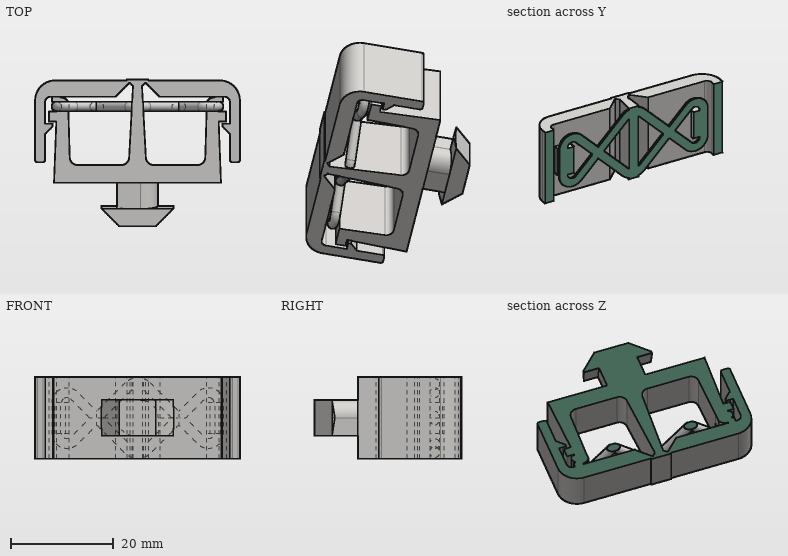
import cadquery as cq
import math

DEPTH = 16.0

BASE_HALF_WIDTH = 16.3
FLOOR_Y = 3.5
PILLAR_TOP_Y = 13.95
PILLAR_NECK_X = 15.85
PILLAR_HEAD_X = 17.3
PILLAR_HEAD_HEIGHT = 2.0
PILLAR_INNER_TOP_X = 13.45
PILLAR_INNER_FLOOR_X = 13.15
POCKET_RADIUS = 1.5
HEAD_RADIUS = 0.2

WALL_HALF_FLOOR = 1.73
WALL_HALF_TOP = 0.9

LID_HALF_WIDTH = 20.0
LID_TOP_Y = 20.0
LID_THICKNESS = 3.25
LID_CORNER_RADIUS = 4.0
LID_INNER_RADIUS = 1.0
STRIP_HALF_WIDTH = 2.1
STRIP_HEIGHT = 0.2
NOTCH_APEX_X = 1.55
NOTCH_APEX_Y = 19.5
ARM_THICKNESS = 2.0
ARM_TIP_Y = 4.0
ARM_TIP_RADIUS = 0.5
BARB_TOP_Y = 11.55
BARB_REACH = 1.45
BARB_NOSE = 0.55

LID_UNDER_Y = LID_TOP_Y - LID_THICKNESS
ARM_INNER_X = LID_HALF_WIDTH - ARM_THICKNESS

WIRE_DIAMETER = 1.9
WIRE_Y = 14.91
WIRE_CROSSING_X = 8.0
WIRE_END_X = 15.8
WIRE_MIDDLE_RADIUS = 2.6
WIRE_END_RADIUS = 2.0

OVERLAP = 0.1

BLOCK_LENGTH = 6.0
BLOCK_OUTER_X = 16.7
BLOCK_SHOULDER_Y = 15.8
BLOCK_CROWN_X = 15.1
BLOCK_CHAMFER_X = 14.05
BLOCK_CHAMFER_Y = 16.45

BOLT_HEAD_HEIGHT = 7.0
SHANK_HEIGHT = 6.98
SHANK_HALF_WIDTH = 4.0
SHANK_RADIUS = SHANK_HEIGHT / 2
BOLT_HEAD_PEAK_Y = -4.5
BOLT_HEAD_EAVE_Y = -5.07
BOLT_TIP_Y = -8.5
BOLT_HEAD_HALF_LENGTH = 6.96
BOLT_END_BULGE = 0.1


def extrude_centred(outline, length):
    """Extrude a closed XY outline symmetrically about Z = 0."""
    return cq.Workplane("XY").polyline(outline).close().extrude(length / 2, both=True)


def fillet_at(solid, x, y, radius):
    """Round the Z-parallel edge that passes through (x, y)."""
    edge = cq.selectors.NearestToPointSelector((x, y, 0))
    return solid.edges("|Z").edges(edge).fillet(radius)


def both_sides(half):
    """Join a +X half with its mirror image."""
    return half.union(half.mirror("YZ"))


def make_half_body():
    """Right half of the base, pillar, central wall and lid as one extrusion."""
    head_bottom_y = PILLAR_TOP_Y - PILLAR_HEAD_HEIGHT
    barb_tip_x = ARM_INNER_X - BARB_REACH
    outline = [
        (0, 0),
        (BASE_HALF_WIDTH, 0),
        (PILLAR_NECK_X, head_bottom_y),
        (PILLAR_HEAD_X, head_bottom_y),
        (PILLAR_HEAD_X, PILLAR_TOP_Y),
        (PILLAR_INNER_TOP_X, PILLAR_TOP_Y),
        (PILLAR_INNER_FLOOR_X, FLOOR_Y),
        (WALL_HALF_FLOOR, FLOOR_Y),
        (WALL_HALF_TOP, NOTCH_APEX_Y - (NOTCH_APEX_X - WALL_HALF_TOP)),
        (NOTCH_APEX_X, NOTCH_APEX_Y),
        (NOTCH_APEX_X + NOTCH_APEX_Y - LID_UNDER_Y, LID_UNDER_Y),
        (ARM_INNER_X, LID_UNDER_Y),
        (ARM_INNER_X, BARB_TOP_Y),
        (barb_tip_x, BARB_TOP_Y),
        (barb_tip_x, BARB_TOP_Y - BARB_NOSE),
        (ARM_INNER_X, BARB_TOP_Y - BARB_NOSE - BARB_REACH),
        (ARM_INNER_X, ARM_TIP_Y),
        (LID_HALF_WIDTH, ARM_TIP_Y),
        (LID_HALF_WIDTH, LID_TOP_Y),
        (STRIP_HALF_WIDTH, LID_TOP_Y),
        (STRIP_HALF_WIDTH, LID_TOP_Y + STRIP_HEIGHT),
        (0, LID_TOP_Y + STRIP_HEIGHT),
    ]
    rounded_corners = [
        (PILLAR_INNER_FLOOR_X, FLOOR_Y, POCKET_RADIUS),
        (WALL_HALF_FLOOR, FLOOR_Y, POCKET_RADIUS),
        (PILLAR_HEAD_X, PILLAR_TOP_Y, HEAD_RADIUS),
        (ARM_INNER_X, LID_UNDER_Y, LID_INNER_RADIUS),
        (ARM_INNER_X, ARM_TIP_Y, ARM_TIP_RADIUS),
        (LID_HALF_WIDTH, ARM_TIP_Y, ARM_TIP_RADIUS),
        (LID_HALF_WIDTH, LID_TOP_Y, LID_CORNER_RADIUS),
    ]
    body = extrude_centred(outline, DEPTH)
    for x, y, radius in rounded_corners:
        body = fillet_at(body, x, y, radius)
    return body


def make_half_block():
    """Right block, standing on the pillar and reaching the lid around the wire."""
    outline = [
        (PILLAR_INNER_TOP_X, PILLAR_TOP_Y - OVERLAP),
        (WIRE_END_X, PILLAR_TOP_Y - OVERLAP),
        (WIRE_END_X, BLOCK_SHOULDER_Y),
        (BLOCK_OUTER_X, BLOCK_SHOULDER_Y),
        (BLOCK_OUTER_X, LID_UNDER_Y + OVERLAP),
        (BLOCK_CROWN_X, LID_UNDER_Y + OVERLAP),
        (BLOCK_CROWN_X, LID_UNDER_Y),
        (BLOCK_CHAMFER_X, BLOCK_CHAMFER_Y),
        (PILLAR_INNER_TOP_X, BLOCK_SHOULDER_Y),
    ]
    return extrude_centred(outline, BLOCK_LENGTH)


def make_wire_strand():
    """One strand of the spring, bent down at both ends and dipping below Z = 0 in the middle."""
    cos45 = math.cos(math.radians(45))
    end_centre_x = WIRE_END_X - WIRE_END_RADIUS
    end_corner_z = WIRE_END_X - WIRE_CROSSING_X
    half_turn = math.radians(135 / 2)
    end_centre_z = end_corner_z - WIRE_END_RADIUS * math.tan(half_turn)
    leg_top_x = end_centre_x - WIRE_END_RADIUS * cos45
    leg_top_z = end_centre_z + WIRE_END_RADIUS * cos45
    bend_mid_x = end_centre_x + WIRE_END_RADIUS * math.cos(half_turn)
    bend_mid_z = end_centre_z + WIRE_END_RADIUS * math.sin(half_turn)
    leg_low_x = WIRE_MIDDLE_RADIUS * cos45
    leg_low_z = leg_low_x - WIRE_CROSSING_X
    middle_z = WIRE_MIDDLE_RADIUS / cos45 - WIRE_MIDDLE_RADIUS - WIRE_CROSSING_X

    path = (
        cq.Workplane("XZ", origin=(0, WIRE_Y, 0))
        .moveTo(-WIRE_END_X, 0)
        .lineTo(-WIRE_END_X, end_centre_z)
        .threePointArc((-bend_mid_x, bend_mid_z), (-leg_top_x, leg_top_z))
        .lineTo(-leg_low_x, leg_low_z)
        .threePointArc((0, middle_z), (leg_low_x, leg_low_z))
        .lineTo(leg_top_x, leg_top_z)
        .threePointArc((bend_mid_x, bend_mid_z), (WIRE_END_X, end_centre_z))
        .lineTo(WIRE_END_X, 0)
    )
    section = cq.Workplane("XY", origin=(-WIRE_END_X, WIRE_Y, 0)).circle(WIRE_DIAMETER / 2)
    return section.sweep(path)


def make_bolt_shank():
    """Rectangular shank with two opposite corners rounded over half its height."""
    root_y = FLOOR_Y / 2
    shank = (
        cq.Workplane("XZ", origin=(0, root_y, 0))
        .rect(2 * SHANK_HALF_WIDTH, SHANK_HEIGHT)
        .extrude(root_y - BOLT_HEAD_EAVE_Y)
    )
    for side in (1, -1):
        corner = (side * SHANK_HALF_WIDTH, 0, side * SHANK_HEIGHT / 2)
        edge = cq.selectors.NearestToPointSelector(corner)
        shank = shank.edges("|Y").edges(edge).fillet(SHANK_RADIUS)
    return shank


def make_bolt_head():
    """Hammer head: ridged on top, 45 degree flanks below, slightly bulged ends."""
    half_height = BOLT_HEAD_HEIGHT / 2
    bulged_x = BOLT_HEAD_HALF_LENGTH + BOLT_END_BULGE
    tip_half_length = BOLT_HEAD_HALF_LENGTH - (BOLT_HEAD_EAVE_Y - BOLT_TIP_Y)
    flanks = extrude_centred(
        [
            (-tip_half_length, BOLT_TIP_Y),
            (tip_half_length, BOLT_TIP_Y),
            (bulged_x, BOLT_HEAD_EAVE_Y + BOLT_END_BULGE),
            (bulged_x, BOLT_HEAD_PEAK_Y),
            (-bulged_x, BOLT_HEAD_PEAK_Y),
            (-bulged_x, BOLT_HEAD_EAVE_Y + BOLT_END_BULGE),
        ],
        BOLT_HEAD_HEIGHT,
    )
    ridge = (
        cq.Workplane("YZ")
        .polyline(
            [
                (BOLT_TIP_Y, -half_height),
                (BOLT_HEAD_EAVE_Y, -half_height),
                (BOLT_HEAD_PEAK_Y, 0),
                (BOLT_HEAD_EAVE_Y, half_height),
                (BOLT_TIP_Y, half_height),
            ]
        )
        .close()
        .extrude(bulged_x, both=True)
    )
    bulged_plan = (
        cq.Workplane("XZ")
        .moveTo(-BOLT_HEAD_HALF_LENGTH, -half_height)
        .lineTo(BOLT_HEAD_HALF_LENGTH, -half_height)
        .threePointArc((bulged_x, 0), (BOLT_HEAD_HALF_LENGTH, half_height))
        .lineTo(-BOLT_HEAD_HALF_LENGTH, half_height)
        .threePointArc((-bulged_x, 0), (-BOLT_HEAD_HALF_LENGTH, -half_height))
        .close()
        .extrude(-BOLT_TIP_Y)
    )
    return flanks.intersect(ridge).intersect(bulged_plan)


body = both_sides(make_half_body())
blocks = both_sides(make_half_block())
strand = make_wire_strand()
spring = strand.union(strand.mirror("XY"))
bolt = make_bolt_shank().union(make_bolt_head())

result = body.union(blocks).union(spring).union(bolt)